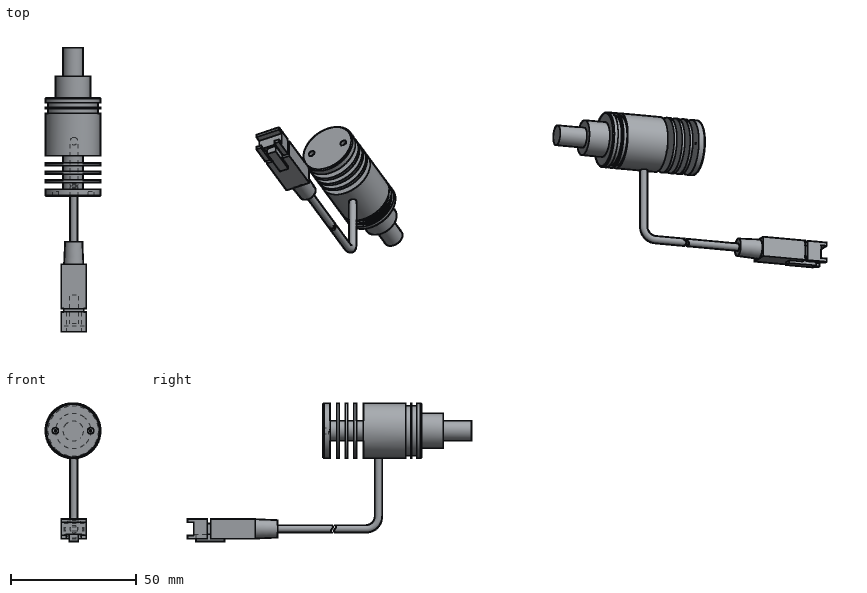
import cadquery as cq
import math

lamp_dia = 22.0
groove_dia = 20.0
nose_dia = 14.0
rod_dia = 8.0
edge_chamfer = 0.5

plate_thickness = 2.8
fin_thickness = 1.1
fin_pitch = 3.4
fin_count = 3
first_fin_y = 5.4
barrel_back_y = 16.0
collar_front_y = 39.2
nose_front_y = 47.8
rod_front_y = 59.1

groove_width = 1.8
groove_back_ys = (33.0, 35.4)

screw_hole_dia = 2.5
screw_hole_spacing = 14.0
screw_hole_depth = 2.0
pilot_hole_dia = 0.7

cable_dia = 3.0
cable_x = 0.28
cable_drop_y = 22.0
cable_run_z = -39.0
bend_radius = 5.0

break_y = 4.7
break_step = 0.51
break_gap = 1.1

relief_back_y = -18.0
block_back_y = -26.9
neck_back_y = -44.6
head_back_y = -45.9
head_front_y = rod_front_y - 113
relief_small_dia = 7.0
relief_large_dia = 7.8

block_width = 10.0
block_height = 7.9
neck_width = 8.0
neck_inset = 1.8
prong_length = 2.5
prong_thickness = 1.4
latch_slot_width = 5.9

latch_width = 3.7
latch_drop = 1.07
latch_back_y = -39.1
latch_front_y = -50.5

block_bottom_z = cable_run_z - block_height / 2
neck_bottom_z = block_bottom_z + neck_inset


def y_cylinder(dia, y_start, y_end, x=0, z=0):
    """Cylinder along Y between two Y positions."""
    direction = cq.Vector(0, math.copysign(1, y_end - y_start), 0)
    return cq.Workplane(
        cq.Solid.makeCylinder(dia / 2, abs(y_end - y_start), cq.Vector(x, y_start, z), direction)
    )


def connector_box(width, y_back, y_front, z_bottom, z_top):
    """Box centred across the cable, running from y_back toward -Y to y_front."""
    return (
        cq.Workplane("XY")
        .box(width, y_back - y_front, z_top - z_bottom, centered=(True, False, False))
        .translate((cable_x, y_front, z_bottom))
    )


def screw_hole(x):
    """Stepped hole through the end plate, wide at the outer face."""
    wide_part = y_cylinder(screw_hole_dia, 0, screw_hole_depth, x)
    pilot = y_cylinder(pilot_hole_dia, 0, plate_thickness, x)
    return wide_part.union(pilot)


def make_lamp():
    lamp = y_cylinder(lamp_dia, 0, plate_thickness).faces("<Y").chamfer(edge_chamfer)
    barrel = y_cylinder(lamp_dia, barrel_back_y, collar_front_y).faces(">Y").chamfer(edge_chamfer)
    for groove_back_y in groove_back_ys:
        groove_front_y = groove_back_y + groove_width
        ring = y_cylinder(lamp_dia, groove_back_y, groove_front_y)
        core = y_cylinder(groove_dia, groove_back_y, groove_front_y)
        barrel = barrel.cut(ring.cut(core))

    rod = y_cylinder(rod_dia, plate_thickness, rod_front_y)
    nose = y_cylinder(nose_dia, collar_front_y, nose_front_y)
    lamp = lamp.union(rod).union(barrel).union(nose)
    for i in range(fin_count):
        fin_y = first_fin_y + i * fin_pitch
        lamp = lamp.union(y_cylinder(lamp_dia, fin_y, fin_y + fin_thickness))

    for side in (-1, 1):
        lamp = lamp.cut(screw_hole(side * screw_hole_spacing / 2))
    return lamp


def beyond_break(edge_y):
    """Block covering everything on the -Y side of a zigzag break edge."""
    radius = cable_dia / 2
    far_y = head_front_y
    return (
        cq.Workplane("YZ")
        .polyline([
            (far_y, cable_run_z + radius),
            (edge_y, cable_run_z + radius),
            (edge_y + break_step, cable_run_z + radius / 2),
            (edge_y - break_step, cable_run_z - radius / 2),
            (edge_y, cable_run_z - radius),
            (far_y, cable_run_z - radius),
        ])
        .close()
        .extrude(radius, both=True)
        .translate((cable_x, 0, 0))
    )


def make_cable():
    """Bent cable from the underside of the barrel to the break."""
    bend_end_y = cable_drop_y - bend_radius
    bend_start_z = cable_run_z + bend_radius
    bend_reach = bend_radius * math.sqrt(0.5)
    path = (
        cq.Workplane("YZ", origin=(cable_x, 0, 0))
        .moveTo(cable_drop_y, 0)
        .lineTo(cable_drop_y, bend_start_z)
        .threePointArc(
            (bend_end_y + bend_reach, bend_start_z - bend_reach),
            (bend_end_y, cable_run_z),
        )
        .lineTo(break_y - 2 * break_step, cable_run_z)
    )
    cable = cq.Workplane("XY", origin=(cable_x, cable_drop_y, 0)).circle(cable_dia / 2).sweep(path)
    barrel = y_cylinder(lamp_dia, barrel_back_y, collar_front_y)
    return cable.cut(barrel).cut(beyond_break(break_y))


def make_strain_relief():
    return cq.Workplane(
        cq.Solid.makeCone(
            relief_small_dia / 2,
            relief_large_dia / 2,
            relief_back_y - block_back_y,
            cq.Vector(cable_x, relief_back_y, cable_run_z),
            cq.Vector(0, -1, 0),
        )
    )


def make_head():
    """Forked end: a wide mouth facing -Y and a latch slot through the underside."""
    block_top_z = block_bottom_z + block_height
    head = connector_box(block_width, head_back_y, head_front_y, block_bottom_z, block_top_z)
    mouth = connector_box(
        block_width,
        head_front_y + prong_length,
        head_front_y,
        block_bottom_z + prong_thickness,
        block_top_z - prong_thickness,
    )
    latch_slot = connector_box(
        latch_slot_width, head_back_y, head_front_y, block_bottom_z, neck_bottom_z
    )
    return head.cut(mouth).cut(latch_slot)


def make_connector():
    """Connector with the stub of cable that ends at the break."""
    block_top_z = block_bottom_z + block_height
    stub = y_cylinder(
        cable_dia, break_y, relief_back_y, cable_x, cable_run_z
    ).intersect(beyond_break(break_y - break_gap))
    block = connector_box(block_width, block_back_y, neck_back_y, block_bottom_z, block_top_z)
    neck = connector_box(
        neck_width, neck_back_y, head_back_y, neck_bottom_z, block_top_z - neck_inset
    )
    latch = connector_box(
        latch_width, latch_back_y, latch_front_y, block_bottom_z - latch_drop, neck_bottom_z
    )
    connector = stub.union(make_strain_relief()).union(block).union(neck)
    return connector.union(make_head()).union(latch)


lamp = make_lamp().solids()
cable = make_cable().solids()
connector = make_connector().solids()

result = cq.Compound.makeCompound([lamp.val(), cable.val(), connector.val()])